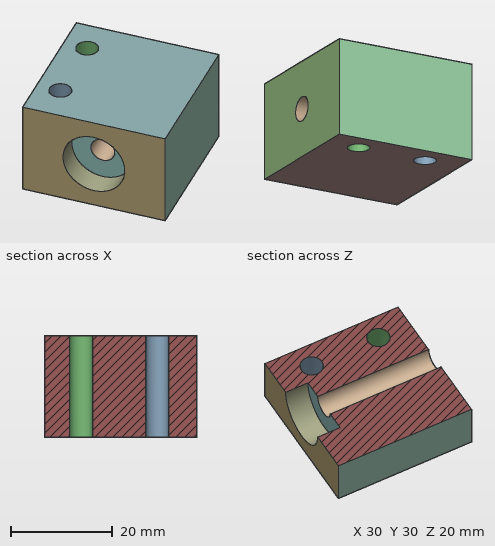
import cadquery as cq

width = 30.0
depth = 30.0
height = 20.0

bore_diameter = 5.0
counterbore_diameter = 13.0
counterbore_depth = 5.0

mount_diameter = 4.5
mount_edge_distance = 5.0
mount_spacing = 15.0
mount_pair_offset = 0.3

mount_x = mount_edge_distance - width / 2
mount_points = [(mount_x, mount_pair_offset + side * mount_spacing / 2) for side in (-1, 1)]

block = cq.Workplane("XY").box(width, depth, height)

bored_block = (
    block.faces("<Y")
    .workplane(centerOption="CenterOfBoundBox")
    .cboreHole(bore_diameter, counterbore_diameter, counterbore_depth)
)

result = (
    bored_block.faces(">Z")
    .workplane(centerOption="CenterOfBoundBox")
    .pushPoints(mount_points)
    .hole(mount_diameter)
)